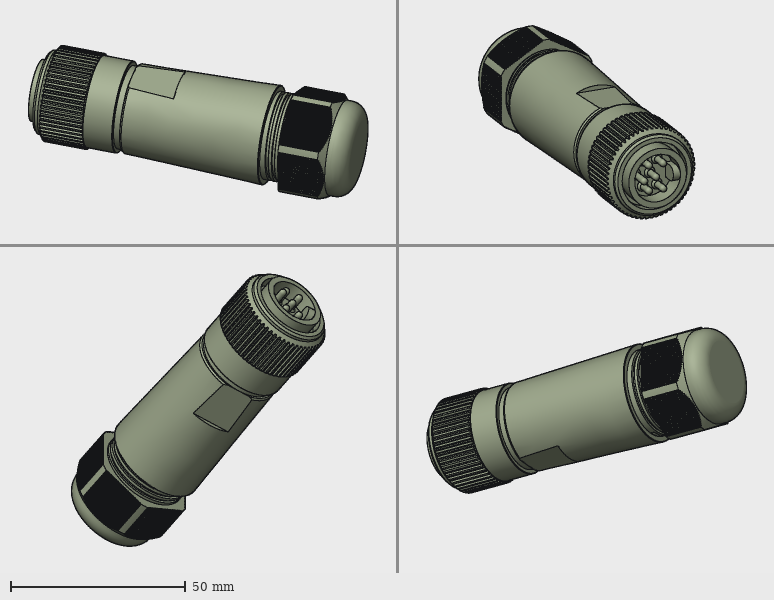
import cadquery as cq
import math


insert_front_x = 1.7
ring_front_x = 3.7
socket_floor_x = 7.1
ring_back_x = 28.0
housing_front_x = 29.9
housing_back_x = 71.8
nut_front_x = 77.65
nut_back_x = 97.55

cutter_clearance = 0.2

insert_radius = 9.1
socket_radius = 7.2
ring_bore_radius = 10.2
pin_circle_radius = 4.5
pin_radius = 1.02
pin_base_radius = 1.7
pin_base_length = 0.7
pin_place_count = 6
key_place = 3
key_width = 4.6
key_reach = 5.0

back_edge_chamfer = 0.2

ring_lip_radius = 12.3
ring_lip_chamfer = 0.7
ring_lip_end_x = 5.3
knurl_front_x = 6.6
knurl_back_x = 19.2
knurl_radius = 14.0
knurl_back_chamfer = 0.3
ring_radius = 13.5
knurl_groove_count = 56
knurl_groove_width = 1.2
knurl_groove_root_width = 0.4
knurl_groove_angle = 1.6

neck_radius = 12.2
housing_front_radius = 13.2
housing_back_radius = 14.5
housing_edge_length = 0.6
housing_edge_depth = 0.4
flat_height = 12.2
flat_end_x = 44.1
thread_radius = 12.9
thread_pitch = 1.9
thread_depth = 0.7
thread_groove_width = 1.0
thread_root_width = 0.8
thread_start_x = 72.5

nut_side_count = 6
nut_flat_distance = 14.3
nut_corner_radius = 15.95
nut_cone_x = 89.5
nut_cone_end_x = 91.5
nut_dome_radius = 13.95
nut_dome_round = 4.7
serration_count = 20
serration_pitch = 0.7
serration_width = 0.5
serration_depth = 0.2


def turned(points):
    """Solid of revolution about X from a closed outline of (x, radius) points."""
    return cq.Workplane("XY").polyline(points).close().revolve(360, (0, 0, 0), (1, 0, 0))


def cylinder(x_start, x_end, radius):
    """Cylinder on the X axis between two stations."""
    return cq.Workplane("YZ", origin=(x_start, 0, 0)).circle(radius).extrude(x_end - x_start)


def make_pin(y, z, front_x):
    """Round pin with a hemispherical tip and a conical base standing on the socket floor."""
    dome_end_x = front_x + pin_radius
    dome_middle = pin_radius * math.sqrt(0.5)
    return (
        cq.Workplane("XY")
        .moveTo(front_x, 0)
        .threePointArc((dome_end_x - dome_middle, dome_middle), (dome_end_x, pin_radius))
        .lineTo(socket_floor_x - pin_base_length, pin_radius)
        .lineTo(socket_floor_x, pin_base_radius)
        .lineTo(socket_floor_x, 0)
        .close()
        .revolve(360, (0, 0, 0), (1, 0, 0))
        .translate((0, y, z))
    )


def make_pins():
    """The first pin on the circle, on +Y, is the long one."""
    pins = [make_pin(0, 0, insert_front_x)]
    for place in range(pin_place_count):
        if place == key_place:
            continue
        angle = 2 * math.pi * place / pin_place_count
        front_x = 0 if place == 0 else insert_front_x
        pins.append(make_pin(pin_circle_radius * math.cos(angle), pin_circle_radius * math.sin(angle), front_x))
    return pins


def make_key():
    """Rib along the socket wall on -Y, with a round nose at the socket mouth."""
    nose_radius = key_width / 2
    nose_end_x = insert_front_x + nose_radius
    key = (
        cq.Workplane("XZ", origin=(0, -key_reach, 0))
        .moveTo(socket_floor_x, -nose_radius)
        .lineTo(nose_end_x, -nose_radius)
        .threePointArc((insert_front_x, 0), (nose_end_x, nose_radius))
        .lineTo(socket_floor_x, nose_radius)
        .close()
        .extrude(insert_radius - key_reach)
    )
    return key.intersect(cylinder(insert_front_x, socket_floor_x, insert_radius))


def make_insert():
    """Socket tube with a solid base that fills the bore of the coupling ring."""
    tube = cylinder(insert_front_x, socket_floor_x, insert_radius)
    socket = cylinder(insert_front_x, socket_floor_x, socket_radius)
    base = cylinder(socket_floor_x, ring_back_x, ring_bore_radius)
    return tube.cut(socket).union(base).union(make_key())


def make_knurl_grooves():
    """Tapered grooves along X whose bottoms reach the plain sleeve radius."""
    outside = knurl_radius + cutter_clearance
    half_width = knurl_groove_width / 2
    half_root = knurl_groove_root_width / 2
    section = [
        (-half_root, ring_radius),
        (half_root, ring_radius),
        (half_width, outside),
        (-half_width, outside),
    ]
    groove = (
        cq.Workplane("YZ", origin=(ring_lip_end_x, 0, 0))
        .polyline(section)
        .close()
        .extrude(knurl_back_x - ring_lip_end_x)
        .val()
    )
    step = 360 / knurl_groove_count
    return [
        groove.rotate(cq.Vector(0, 0, 0), cq.Vector(1, 0, 0), knurl_groove_angle + i * step)
        for i in range(knurl_groove_count)
    ]


def make_ring():
    """Turned ring with a chamfered lip, a knurled band and a plain sleeve."""
    profile = [
        (ring_front_x, ring_bore_radius),
        (ring_front_x, ring_lip_radius - ring_lip_chamfer),
        (ring_front_x + ring_lip_chamfer, ring_lip_radius),
        (ring_lip_end_x, ring_lip_radius),
        (knurl_front_x, knurl_radius),
        (knurl_back_x - knurl_back_chamfer, knurl_radius),
        (knurl_back_x, knurl_radius - knurl_back_chamfer),
        (knurl_back_x, ring_radius),
        (ring_back_x - back_edge_chamfer, ring_radius),
        (ring_back_x, ring_radius - back_edge_chamfer),
        (ring_back_x, ring_bore_radius),
    ]
    ring = turned(profile).val()
    return cq.Workplane(ring.cut(*make_knurl_grooves()))


def make_threaded_neck():
    """Neck with a right-hand helical groove; it is cut over-long, then trimmed at the nut."""
    root_radius = thread_radius - thread_depth
    overrun = 2 * thread_pitch
    helix = cq.Wire.makeHelix(thread_pitch, nut_front_x - thread_start_x + thread_pitch, thread_radius)
    section = [
        (root_radius, -thread_root_width / 2),
        (thread_radius + cutter_clearance, -thread_groove_width / 2),
        (thread_radius + cutter_clearance, thread_groove_width / 2),
        (root_radius, thread_root_width / 2),
    ]
    groove = cq.Workplane("XZ").polyline(section).close().sweep(cq.Workplane(helix), isFrenet=True)
    groove = groove.rotate((0, 0, 0), (0, 1, 0), 90).translate((thread_start_x, 0, 0))
    threaded = cylinder(housing_back_x, nut_front_x + overrun, thread_radius).cut(groove)
    return threaded.cut(cylinder(nut_front_x, nut_front_x + overrun, housing_back_radius))


def make_housing():
    """Tapered sleeve with two wrench flats and a threaded rear neck."""
    profile = [
        (ring_back_x, 0),
        (ring_back_x, neck_radius),
        (housing_front_x, neck_radius),
        (housing_front_x, housing_front_radius - housing_edge_depth),
        (housing_front_x + housing_edge_length, housing_front_radius),
        (housing_back_x - back_edge_chamfer, housing_back_radius),
        (housing_back_x, housing_back_radius - back_edge_chamfer),
        (housing_back_x, 0),
    ]
    housing = turned(profile)
    flat_length = flat_end_x - housing_front_x
    for side in (1, -1):
        wrench_flat = cq.Workplane("XY").box(
            flat_length, 2 * housing_back_radius, housing_back_radius, centered=(False, True, True)
        ).translate((housing_front_x, 0, side * (flat_height + housing_back_radius / 2)))
        housing = housing.cut(wrench_flat)
    return housing.union(make_threaded_neck())


def serrated_flat_points():
    """One hexagon side at y = nut_flat_distance, from its corner at -z, as (y, z) points."""
    half_side = nut_flat_distance * math.tan(math.pi / nut_side_count)
    points = [(nut_flat_distance, -half_side)]
    for i in range(serration_count):
        middle = (i - (serration_count - 1) / 2) * serration_pitch
        points += [
            (nut_flat_distance, middle - serration_width / 2),
            (nut_flat_distance - serration_depth, middle),
            (nut_flat_distance, middle + serration_width / 2),
        ]
    return points


def make_nut():
    """Serrated hexagon with its corners turned off, a rear cone and a rounded end."""
    outline = []
    for side in range(nut_side_count):
        turn = 2 * math.pi * side / nut_side_count
        for y, z in serrated_flat_points():
            turned_y = y * math.cos(turn) - z * math.sin(turn)
            turned_z = y * math.sin(turn) + z * math.cos(turn)
            outline.append((turned_y, turned_z))
    hexagon = (
        cq.Workplane("YZ", origin=(nut_front_x, 0, 0))
        .polyline(outline)
        .close()
        .extrude(nut_back_x - nut_front_x)
    )
    envelope = turned([
        (nut_front_x, 0),
        (nut_front_x, nut_corner_radius),
        (nut_cone_x, nut_corner_radius),
        (nut_cone_end_x, nut_dome_radius),
        (nut_back_x, nut_dome_radius),
        (nut_back_x, 0),
    ]).faces(">X").edges().fillet(nut_dome_round)
    return hexagon.intersect(envelope)


housing = make_housing()
ring = make_ring()
insert = make_insert()
nut = make_nut()
pins = make_pins()

result = cq.Compound.makeCompound(
    [housing.val(), ring.val(), insert.val(), nut.val(), *[pin.val() for pin in pins]]
)